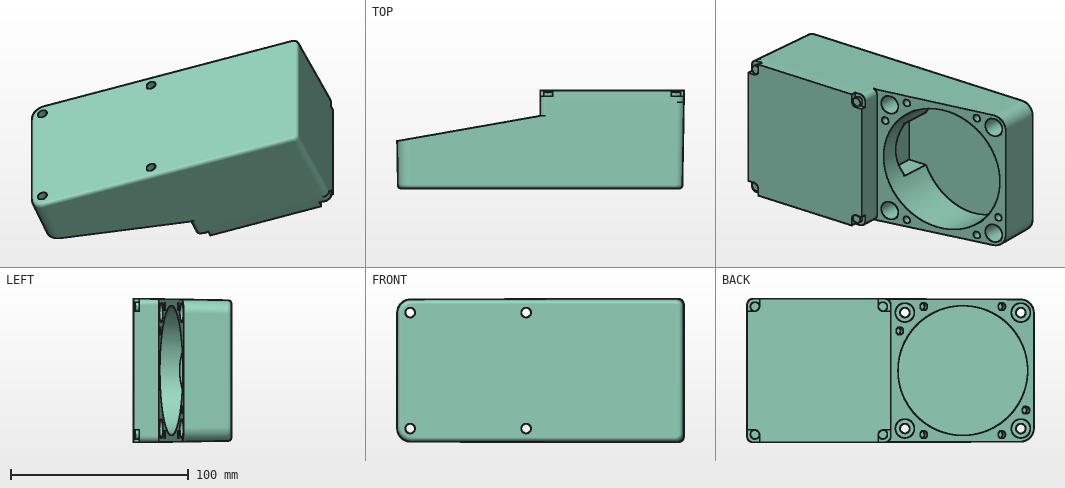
import cadquery as cq
import math


length = 161.5
width = 80.9
height = 55.2

draft_angle = 1.0
base_fillet = 2.1
large_corner_radius = 7.8
small_corner_radius = 3.5

lid_thickness = 6.6
seam_height = height - lid_thickness
lid_start = length - width
slope_low = 26.8
slope_angle = 10.0
slope_tangent = math.tan(math.radians(slope_angle))

fan_x = 40.0
bore_radius = 36.5
floor_thickness = 6.5
passage_roof = 29.2
passage_length = 8.0
passage_width = 32.3

fan_screw_near = 22.3
fan_screw_far = 36.0
fan_screw_diameter = 4.2
fan_screw_depth = 9.7

mount_spacing = 65.3
mount_diameter = 5.3
access_diameter = 10.7

corner_cut = 7.1
corner_cut_depth = 3.2
corner_cut_fillet = 3.0
screw_head_radius = 2.6
screw_head_height = 2.1


def slope_height(x):
    """Height of the sloping face at position x."""
    return slope_low + x * slope_tangent


def upright(y):
    """Plane at height y whose local axes are X, -Z and whose normal is +Y."""
    return cq.Workplane(cq.Plane(origin=(0, y, 0), xDir=(1, 0, 0), normal=(0, 1, 0)))


def centred_box(x_start, x_end, y_start, y_end, z_size):
    """Box between two X and two Y positions, centred on Z = 0."""
    return cq.Workplane("XY").box(
        x_end - x_start, y_end - y_start, z_size, centered=(False, False, True)
    ).translate((x_start, y_start, 0))


def make_body():
    """Drafted block below the lid seam, with rounded corners and base edge."""
    draft_tangent = math.tan(math.radians(draft_angle))
    seam_start = -(seam_height - slope_low) * draft_tangent
    seam_length = length - seam_start
    outline = upright(seam_height).center(seam_start + seam_length / 2, 0).rect(seam_length, width)
    body = outline.extrude(-seam_height, taper=draft_angle)
    body = body.edges("not #Y").edges(">X").fillet(small_corner_radius)
    body = body.edges("not #Y").edges("<X").fillet(large_corner_radius)
    return body.faces("<Y").edges().fillet(base_fillet)


def make_slope_cutter():
    """Everything above the slope and in front of the lid."""
    front = -1.6
    outline = [
        (front, slope_height(front)),
        (lid_start, slope_height(lid_start)),
        (lid_start, height),
        (front, height),
    ]
    cutter = cq.Workplane("XY").polyline(outline).close().extrude(width, both=True)
    corner = centred_box(
        lid_start, lid_start + small_corner_radius, slope_height(lid_start), height, width + 1.6
    )
    rounded = centred_box(lid_start, length, 0, height, width)
    rounded = rounded.edges("|Y and <X").fillet(small_corner_radius)
    return cutter.union(corner.cut(rounded))


def make_lid():
    """Square lid with a cut-out and a screw head at each corner."""
    lid = centred_box(lid_start, length, seam_height, height, width)
    lid = lid.edges("|Y").fillet(small_corner_radius)
    cut_floor = height - corner_cut_depth
    head_inset = corner_cut - screw_head_radius
    corners = [
        (x, z, x_inward, -z_side)
        for x, x_inward in ((lid_start, 1), (length, -1))
        for z, z_side in ((-width / 2, -1), (width / 2, 1))
    ]
    for x, z, x_inward, z_inward in corners:
        cut = cq.Workplane("XY").box(2 * corner_cut, 2 * corner_cut_depth, 2 * corner_cut)
        cut = cut.edges("|Y").fillet(corner_cut_fillet).translate((x, height, z))
        head_x = x + x_inward * head_inset
        head_z = z + z_inward * head_inset
        head = upright(cut_floor).center(head_x, -head_z).circle(screw_head_radius)
        lid = lid.cut(cut).union(head.extrude(screw_head_height))
    return lid


def make_fan_bore():
    """Blind bore under the slope, with a passage whose roof rises at 45 degrees."""
    bore = upright(floor_thickness).center(fan_x, 0).circle(bore_radius).extrude(height)
    bore_edge = fan_x + bore_radius
    start_x = fan_x + bore_radius / 2
    end_x = bore_edge + passage_length
    outline = [
        (start_x, floor_thickness),
        (end_x, floor_thickness),
        (end_x, passage_roof + end_x - bore_edge),
        (start_x, passage_roof + start_x - bore_edge),
    ]
    passage = cq.Workplane("XY").polyline(outline).close().extrude(passage_width / 2, both=True)
    return bore.union(passage)


def make_fan_screw_holes():
    """Blind holes square to the slope, four by the bore sides and two on a diagonal."""
    slope_plane = cq.Plane(
        origin=(fan_x, slope_height(fan_x), 0),
        xDir=(1, slope_tangent, 0),
        normal=(-slope_tangent, 1, 0),
    )
    near, far = fan_screw_near, fan_screw_far
    points = [
        (near, far),
        (near, -far),
        (-near, far),
        (-near, -far),
        (far, -near),
        (-far, near),
    ]
    holes = cq.Workplane(slope_plane).pushPoints(points).circle(fan_screw_diameter / 2)
    return holes.extrude(-fan_screw_depth)


def make_mount_holes():
    """Four through holes in the base with access bores above the floor."""
    def drill(y, diameter):
        pattern = upright(y).center(fan_x, 0).rect(mount_spacing, mount_spacing, forConstruction=True)
        return pattern.vertices().circle(diameter / 2).extrude(height)

    return drill(0, mount_diameter).union(drill(floor_thickness, access_diameter))


body = make_body().cut(make_slope_cutter())
for opening in (make_fan_bore(), make_fan_screw_holes(), make_mount_holes()):
    body = body.cut(opening)
result = body.union(make_lid())